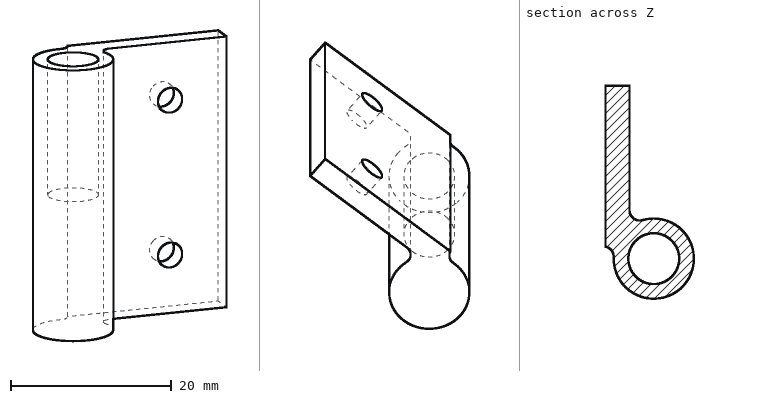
import cadquery as cq
import math

height = 35.0
barrel_radius = 5.0
bore_diameter = 6.3
bore_depth = height / 2

leaf_thickness = 3.0
leaf_outer_x = -6.0
leaf_inner_x = leaf_outer_x + leaf_thickness
leaf_end_y = 21.5

blend_radius = 1.25
heel_y = 1.5

screw_diameter = 3.2
screw_end_distance = 7.5
screw_spacing = 20.0


def toward(start, end, distance):
    """Point at a given distance from start on the way to end."""
    share = distance / math.dist(start, end)
    return tuple(s + share * (e - s) for s, e in zip(start, end))


def make_body():
    """Extrude the joined outline of the leaf, the blends and the barrel."""
    axis = (0.0, 0.0)
    center_distance = barrel_radius + blend_radius

    inner_x = leaf_inner_x + blend_radius
    inner_center = (inner_x, math.sqrt(center_distance**2 - inner_x**2))
    inner_start = (leaf_inner_x, inner_center[1])
    inner_end = toward(axis, inner_center, barrel_radius)
    inner_corner = (leaf_inner_x, barrel_radius - blend_radius)
    inner_mid = toward(inner_center, inner_corner, blend_radius)

    heel_center_y = heel_y - blend_radius
    heel_center = (-math.sqrt(center_distance**2 - heel_center_y**2), heel_center_y)
    heel_reach = leaf_outer_x - heel_center[0]
    heel_end = (leaf_outer_x, heel_center_y + math.sqrt(blend_radius**2 - heel_reach**2))
    heel_start = toward(axis, heel_center, barrel_radius)
    heel_mid = toward(heel_center, (-barrel_radius, heel_y), blend_radius)

    barrel_far_side = (barrel_radius, 0.0)
    return (
        cq.Workplane("XY")
        .workplane(offset=-height / 2)
        .moveTo(leaf_outer_x, leaf_end_y)
        .lineTo(leaf_inner_x, leaf_end_y)
        .lineTo(*inner_start)
        .threePointArc(inner_mid, inner_end)
        .threePointArc(barrel_far_side, heel_start)
        .threePointArc(heel_mid, heel_end)
        .close()
        .extrude(height)
    )


def make_bore():
    """Blind pin bore entering from the top of the barrel."""
    return (
        cq.Workplane("XY")
        .workplane(offset=height / 2 - bore_depth)
        .circle(bore_diameter / 2)
        .extrude(bore_depth)
    )


def make_screw_holes():
    """Two cylinders through the leaf thickness, symmetric about mid-height."""
    hole_y = leaf_end_y - screw_end_distance
    return (
        cq.Workplane("YZ")
        .workplane(offset=leaf_outer_x)
        .pushPoints([(hole_y, side * screw_spacing / 2) for side in (-1, 1)])
        .circle(screw_diameter / 2)
        .extrude(leaf_thickness)
    )


result = make_body().cut(make_bore()).cut(make_screw_holes())